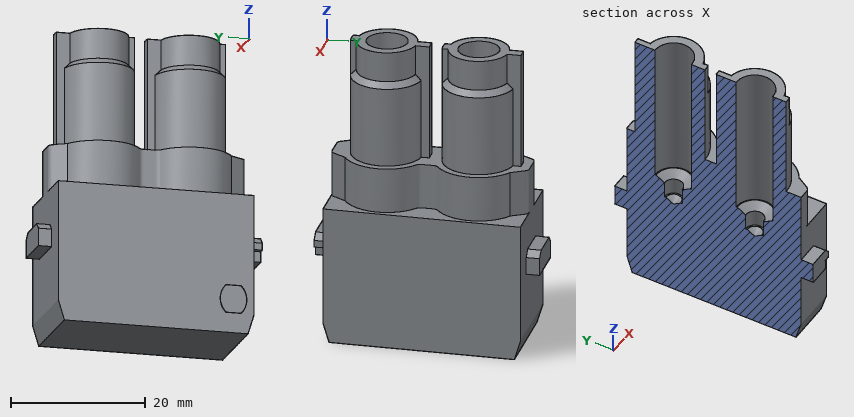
import cadquery as cq
import math

body_width = 14.6
body_length = 30.15
body_height = 21.45
foot_taper_height = 3.0
foot_taper_inset = 0.95

barrel_pitch = 14.0
barrel_centers = (-barrel_pitch / 2, barrel_pitch / 2)
barrel_radius = 10.95 / 2
neck_radius = 9.2 / 2
barrel_top = 46.35
neck_base = 41.7
shoulder_base = 40.85

collar_radius = 13.2 / 2
collar_top = 28.45
web_half_width = 7.0 / 2
nose_half_width = 2.05
collar_round = 0.97

long_key_width = 1.65
long_key_reach = 6.65
short_key_width = 2.05

bore_radius = 6.25 / 2
bore_floor = body_height
funnel_radius = 6.0 / 2
pilot_radius = 3.0 / 2
pilot_depth = 2.8
funnel_angle = 31
funnel_slope = math.tan(math.radians(funnel_angle))
tip_radius = 2.5 / 2

tab_span = 34.2
tab_reach = (tab_span - body_length) / 2
tab_bottom = 12.35
tab_top = 16.0
tab_step = 13.95
tab_corner = 0.97
tab_width = 7.05
wide_tab_width = 8.95

badge_thickness = 0.15
badge_y = -11.85
badge_z = 5.2
badge_width = 4.1
badge_height = 4.25
badge_side_height = 2.3


def disc(radius, y, bottom, top):
    """Upright cylinder centred on X = 0."""
    return cq.Workplane("XY", origin=(0, y, bottom)).circle(radius).extrude(top - bottom)


def make_body():
    """Block whose two end faces lean inwards at the foot."""
    half = body_length / 2
    foot_half = half - foot_taper_inset
    profile = [
        (-foot_half, 0),
        (foot_half, 0),
        (half, foot_taper_height),
        (half, body_height),
        (-half, body_height),
        (-half, foot_taper_height),
    ]
    return cq.Workplane("YZ").polyline(profile).close().extrude(body_width / 2, both=True)


def make_collar():
    """Two discs joined by a web, with rounded tapered noses reaching the end faces."""
    height = collar_top - body_height
    nose_base = barrel_pitch / 2 + math.sqrt(collar_radius**2 - web_half_width**2)
    nose_tip = body_length / 2
    outline = [
        (-nose_half_width, -nose_tip),
        (nose_half_width, -nose_tip),
        (web_half_width, -nose_base),
        (web_half_width, nose_base),
        (nose_half_width, nose_tip),
        (-nose_half_width, nose_tip),
        (-web_half_width, nose_base),
        (-web_half_width, -nose_base),
    ]
    collar = cq.Workplane("XY", origin=(0, 0, body_height)).polyline(outline).close().extrude(height)
    collar = collar.edges("|Z and (>Y or <Y)").fillet(collar_round)
    for y in barrel_centers:
        collar = collar.union(disc(collar_radius, y, body_height, collar_top))
    web_zone = cq.selectors.BoxSelector(
        (-barrel_radius, -barrel_pitch / 4, 0), (barrel_radius, barrel_pitch / 4, barrel_top)
    )
    return collar.edges("|Z").edges(web_zone).fillet(collar_round)


def make_barrel(y):
    """Turned barrel with a conical shoulder, a long key on +Y and a short key on -Y."""
    profile = [
        (0, body_height),
        (barrel_radius, body_height),
        (barrel_radius, shoulder_base),
        (neck_radius, neck_base),
        (neck_radius, barrel_top),
        (0, barrel_top),
    ]
    barrel = cq.Workplane("XZ").polyline(profile).close().revolve(360, (0, 0), (0, 1))
    long_key = cq.Workplane("XY").box(
        long_key_width, long_key_reach, barrel_top - body_height, centered=(True, False, False)
    )
    short_key = cq.Workplane("XY").box(
        short_key_width, barrel_radius, barrel_top - shoulder_base, centered=(True, False, False)
    )
    barrel = barrel.union(long_key.translate((0, 0, body_height)))
    short_key = short_key.translate((0, -barrel_radius, shoulder_base))
    short_key = short_key.intersect(disc(barrel_radius, 0, shoulder_base, barrel_top))
    barrel = barrel.union(short_key)
    return barrel.translate((0, y, 0))


def make_bore(y):
    """Cutter for the bore: straight wall, funnel, pilot hole and pointed end."""
    funnel_end = bore_floor - funnel_slope * (funnel_radius - pilot_radius)
    pilot_end = funnel_end - pilot_depth
    profile = [
        (0, barrel_top),
        (bore_radius, barrel_top),
        (bore_radius, bore_floor),
        (funnel_radius, bore_floor),
        (pilot_radius, funnel_end),
        (pilot_radius, pilot_end),
        (tip_radius, pilot_end),
        (0, pilot_end - funnel_slope * tip_radius),
    ]
    cutter = cq.Workplane("XZ").polyline(profile).close().revolve(360, (0, 0), (0, 1))
    return cutter.translate((0, y, 0))


def make_tab(head_width, direction):
    """Latch tab with bevelled upper corners; a wide head overhangs a narrower foot."""
    foot = tab_width / 2
    head = head_width / 2
    right_side = [(foot, tab_bottom)]
    if head > foot:
        right_side += [(foot, tab_step), (head, tab_step)]
    right_side += [(head, tab_top - tab_corner), (head - tab_corner, tab_top)]
    left_side = [(-x, z) for x, z in reversed(right_side)]
    face_y = direction * body_length / 2
    plane = cq.Workplane("XZ", origin=(0, face_y, 0))
    return plane.polyline(right_side + left_side).close().extrude(-direction * tab_reach)


def make_badge():
    """Plain raised badge with bowed ends in Y."""
    half_w = badge_width / 2
    half_h = badge_height / 2
    half_side = badge_side_height / 2
    outline = (
        cq.Workplane("YZ", origin=(-body_width / 2, badge_y, badge_z))
        .moveTo(-half_side, -half_h)
        .lineTo(half_side, -half_h)
        .threePointArc((half_w, 0), (half_side, half_h))
        .lineTo(-half_side, half_h)
        .threePointArc((-half_w, 0), (-half_side, -half_h))
        .close()
    )
    return outline.extrude(-badge_thickness)


result = make_body().union(make_collar())
for center_y in barrel_centers:
    result = result.union(make_barrel(center_y)).cut(make_bore(center_y))
result = result.union(make_tab(wide_tab_width, -1)).union(make_tab(tab_width, 1))
result = result.union(make_badge())